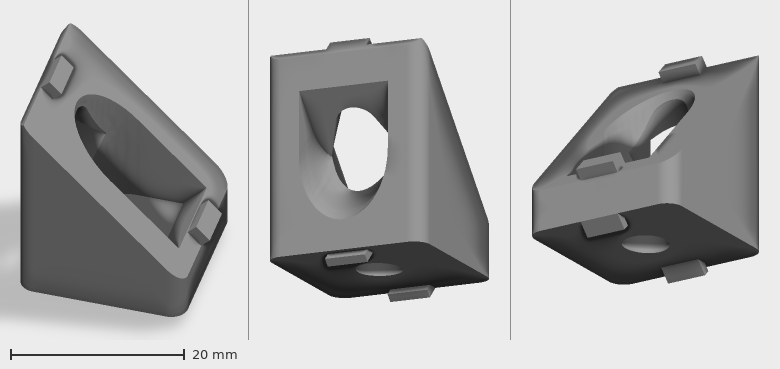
import cadquery as cq
import math

width = 20.0
corner_radius = 2.0
slope_reach = 25.05
ridge_x = 0.75
ridge_z = slope_reach - ridge_x
diagonal = math.sqrt(2)

tab_width = 5.02
slope_tab_rise = 1.05
upper_tab_end_x = 2.2
lower_tab_start_x = 18.35
lower_tab_end_x = 19.98
foot_drop = 1.5
foot_thickness = 1.05
foot_ends_x = (2.65, width)

seat_thickness = 3.95
hole_radius = 2.69
floor_hole_stretch = 3.17
throat_angle = 24.0
throat_end = 3.5
floor_hole_x = 10.1
floor_pocket_x = 10.02
floor_pocket_radius = 5.48
floor_wall_x = 15.5
mouth_x = 10.0
mouth_radius = 5.7
mouth_wall_x = 18.26
slope_screw_x = 3.98
slope_pocket_radius = 5.61
clear = 2 * width


def side_prism(points, depth):
    """Prism of an XZ outline, centred on the XZ plane."""
    return cq.Workplane("XZ").polyline(points).close().extrude(depth / 2, both=True)


def make_body():
    block = cq.Workplane("XY").box(width, width, ridge_z, centered=(False, True, False))
    block = block.edges("|Z").fillet(corner_radius)
    outline = [
        (0, 0),
        (width, 0),
        (width, slope_reach - width),
        (ridge_x, ridge_z),
        (0, ridge_z - ridge_x),
    ]
    return block.intersect(side_prism(outline, width))


def slope_tab(start_x, end_x):
    start_z = slope_reach - start_x
    end_z = slope_reach - end_x
    return side_prism([
        (start_x, start_z),
        (start_x + slope_tab_rise, start_z + slope_tab_rise),
        (end_x + slope_tab_rise, end_z + slope_tab_rise),
        (end_x, end_z),
    ], tab_width)


def foot(end_x):
    half_step = foot_thickness / diagonal
    tip_x = end_x - foot_drop
    return side_prism([
        (end_x, 0),
        (tip_x, -foot_drop),
        (tip_x - half_step, half_step - foot_drop),
        (end_x - foot_thickness * diagonal, 0),
    ], tab_width)


def u_outline(plane, half_width, reach, stretch=1):
    """Wire with a round end towards local -X, stretched along X, and straight sides out to reach."""
    sketch = cq.Workplane(plane).moveTo(reach, -half_width).lineTo(0, -half_width)
    if stretch == 1:
        sketch = sketch.threePointArc((-half_width, 0), (0, half_width))
    else:
        sketch = sketch.ellipseArc(
            stretch * half_width, half_width, 90, 270, startAtCurrent=True, sense=-1
        )
    return sketch.lineTo(reach, half_width).close().val()


def floor_pocket():
    """Pocket flaring from its floor outline to a slightly larger outline on the slope."""
    floor_plane = cq.Plane((floor_pocket_x, 0, seat_thickness), (1, 0, 0), (0, 0, 1))
    mouth_plane = cq.Plane((mouth_x, 0, slope_reach - mouth_x), (1, 0, -1), (1, 0, 1))
    floor = u_outline(floor_plane, floor_pocket_radius, floor_wall_x - floor_pocket_x)
    mouth = u_outline(mouth_plane, mouth_radius, (mouth_wall_x - mouth_x) * diagonal, stretch=diagonal)
    return cq.Workplane(cq.Solid.makeLoft([floor, mouth], True))


def floor_hole():
    """Round hole whose -X half is stretched to a half ellipse."""
    return (
        cq.Workplane("XY")
        .center(floor_hole_x, 0)
        .moveTo(0, -hole_radius)
        .threePointArc((hole_radius, 0), (0, hole_radius))
        .ellipseArc(floor_hole_stretch, hole_radius, 90, 270, startAtCurrent=True)
        .close()
        .extrude(seat_thickness)
    )


def slope_screw_cut():
    seat_reach = slope_reach - seat_thickness * diagonal
    seat_centre = (slope_screw_x, 0, seat_reach - slope_screw_x)
    plane = cq.Plane(seat_centre, (-1, 0, 1), (-1, 0, -1))
    outline = u_outline(plane, slope_pocket_radius, width)
    pocket = cq.Workplane(plane).add(outline).toPending().extrude(clear)
    out_plane = cq.Plane(seat_centre, (1, 0, -1), (1, 0, 1))
    hole = cq.Workplane(out_plane).circle(hole_radius).extrude(2 * seat_thickness)
    flare = math.radians(throat_angle)
    tangent_x = -hole_radius * math.sin(flare)
    tangent_y = hole_radius * math.cos(flare)
    throat_y = tangent_y + (throat_end - tangent_x) * math.tan(flare)
    throat = cq.Workplane(out_plane).polyline([
        (tangent_x, -tangent_y),
        (throat_end, -throat_y),
        (throat_end, throat_y),
        (tangent_x, tangent_y),
    ]).close().extrude(2 * seat_thickness)
    return pocket.union(hole).union(throat)


result = make_body()
result = result.cut(floor_pocket()).cut(floor_hole()).cut(slope_screw_cut())
result = result.union(slope_tab(ridge_x, upper_tab_end_x))
result = result.union(slope_tab(lower_tab_start_x, lower_tab_end_x))
for foot_end_x in foot_ends_x:
    result = result.union(foot(foot_end_x))